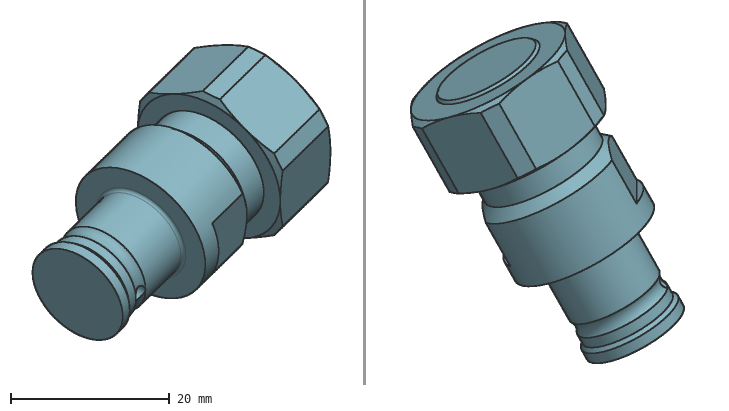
import cadquery as cq
import math

TIP_RIM_END = 1.52
TIP_CONE_END = 2.1
GROOVE_START = 3.55
GROOVE_END = 5.65
GROOVE_MIDDLE = (GROOVE_START + GROOVE_END) / 2
SHANK_END = 13.3
BODY_START = 13.75
BODY_END = 23.3
COLLAR_START = 24.8
NUT_START = 28.7
NUT_END = 39.7
LENGTH = 40.1

TIP_RADIUS = 6.98
SHANK_RADIUS = 6.5
GROOVE_RADIUS = 6.18
BODY_DIAMETER = 20.0
BODY_RADIUS = BODY_DIAMETER / 2
COLLAR_RADIUS = 8.45
PLUG_BASE_RADIUS = 7.38
PLUG_FACE_RADIUS = 7.0

HALF_SECTOR = 30
ACROSS_FLATS = 22.0
ACROSS_CUT_CORNERS = 23.9
NUT_BEVEL_ANGLE = 27.0

WRENCH_WIDTH = 18.0
WRENCH_START = 16.7
HOLE_DIAMETER = 2.1


def turned_profile():
    """Half section of the round parts, with radius along Z and the axis along Y."""
    root_radius = BODY_START - SHANK_END
    arc_inset = root_radius * math.sqrt(0.5)
    return (
        cq.Workplane("ZY")
        .lineTo(TIP_RADIUS, 0)
        .lineTo(TIP_RADIUS, TIP_RIM_END)
        .lineTo(SHANK_RADIUS, TIP_CONE_END)
        .lineTo(SHANK_RADIUS, GROOVE_START)
        .threePointArc((GROOVE_RADIUS, GROOVE_MIDDLE), (SHANK_RADIUS, GROOVE_END))
        .lineTo(SHANK_RADIUS, SHANK_END)
        .threePointArc(
            (SHANK_RADIUS + root_radius - arc_inset, SHANK_END + arc_inset),
            (SHANK_RADIUS + root_radius, BODY_START),
        )
        .lineTo(BODY_RADIUS, BODY_START)
        .lineTo(BODY_RADIUS, BODY_END)
        .lineTo(COLLAR_RADIUS, COLLAR_START)
        .lineTo(COLLAR_RADIUS, NUT_END)
        .lineTo(PLUG_BASE_RADIUS, NUT_END)
        .lineTo(PLUG_FACE_RADIUS, LENGTH)
        .lineTo(0, LENGTH)
        .close()
    )


def hex_prism(across_flats, turn):
    """Hexagonal prism over the nut length; turn 0 puts two flats on the X sides."""
    across_corners = across_flats / math.cos(math.radians(HALF_SECTOR))
    return (
        cq.Workplane("XZ", origin=(0, NUT_START, 0))
        .polygon(6, across_corners)
        .extrude(NUT_START - NUT_END)
        .rotate((0, 0, 0), (0, 1, 0), HALF_SECTOR + turn)
    )


def nut_bevel_envelope():
    """Round blank whose conical ends bevel the nut corners."""
    face_radius = ACROSS_FLATS / 2
    outer_radius = face_radius / math.cos(math.radians(HALF_SECTOR))
    bevel_length = (outer_radius - face_radius) * math.tan(math.radians(NUT_BEVEL_ANGLE))
    return (
        cq.Workplane("ZY")
        .moveTo(0, NUT_START)
        .lineTo(face_radius, NUT_START)
        .lineTo(outer_radius, NUT_START + bevel_length)
        .lineTo(outer_radius, NUT_END - bevel_length)
        .lineTo(face_radius, NUT_END)
        .lineTo(0, NUT_END)
        .close()
        .revolve(360, (0, 0, 0), (0, 1, 0))
    )


def make_nut():
    """Hexagon with its six corners cut flat and both ends bevelled."""
    corner_cutter = hex_prism(ACROSS_CUT_CORNERS, HALF_SECTOR)
    return hex_prism(ACROSS_FLATS, 0).intersect(corner_cutter).intersect(nut_bevel_envelope())


def wrench_flat_cutter(side):
    """Block outside one wrench flat, on the +X or -X side of the body."""
    depth_allowance = BODY_RADIUS
    center_x = side * (WRENCH_WIDTH + depth_allowance) / 2
    center_y = (WRENCH_START + COLLAR_START) / 2
    return (
        cq.Workplane("XY")
        .box(depth_allowance, COLLAR_START - WRENCH_START, BODY_DIAMETER)
        .translate((center_x, center_y, 0))
    )


def cross_hole_cutter():
    """Pin through the shank along X, centred in the groove."""
    return (
        cq.Workplane("YZ")
        .center(GROOVE_MIDDLE, 0)
        .circle(HOLE_DIAMETER / 2)
        .extrude(TIP_RADIUS, both=True)
    )


result = turned_profile().revolve(360, (0, 0, 0), (0, 1, 0)).union(make_nut())
for side in (-1, 1):
    result = result.cut(wrench_flat_cutter(side))
result = result.cut(cross_hole_cutter())